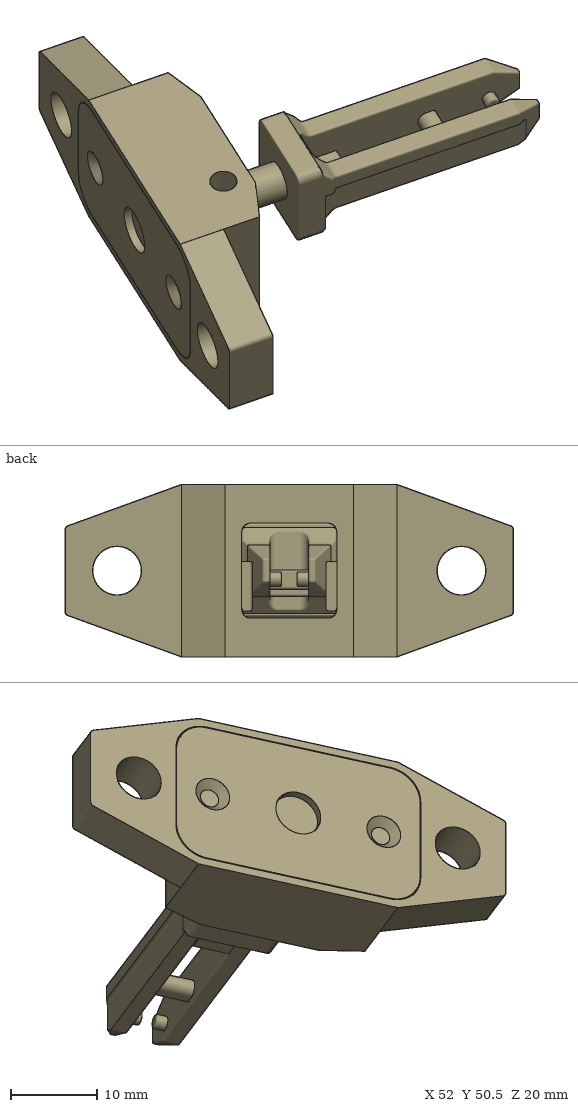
import cadquery as cq
import math


flange_length = 52.0
housing_height = 20.0
flange_thickness = 5.55
block_width = 24.95
block_depth = 12.0
taper_angle = 20.0
shoulder_width = 5.05
flange_corner_radius = 0.5
mount_hole_diameter = 5.6
mount_hole_offset = 19.95
side_hole_diameter = 3.1
side_hole_depth = 5.0
side_hole_x = 5.65
side_hole_y = 8.75

pocket_length = 30.7
pocket_height = 18.1
pocket_corner_radius = 3.85
cover_gap = 0.1
cover_thickness = 1.0
cover_hole_diameter = 5.6
screw_offset = 10.7
screw_head_diameter = 4.2
screw_hole_diameter = 2.3

overall_depth = 50.5
rod_diameter = 4.6
base_start = 18.5
base_size = 11.0
base_corner_radius = 1.05
base_edge_radius = 0.15
base_rim = 21.6
base_rim_half = 5.0
rim_edge_radius = 0.25
neck_radius = 0.95
flank_radius = 0.45
arm_outer = 4.85
arm_inner = 2.25
arm_height = 6.0
arm_edge_radius = 0.25
slot_floor = 22.0
slot_corner_radius = 1.0
taper_start = 47.1
tip_outer = 3.0
tip_half_height = 1.35
recess_depth = 0.55
recess_top = 1.1
recess_start = 21.9
recess_corner_radius = 0.3
crossbar_start = 37.35
crossbar_size = 2.25
crossbar_z = -1.05
crossbar_round_radius = 1.1
crossbar_edge_radius = 0.25
stud_z = -1.0
stud_diameter = 1.7
stud_y = 46.45
stud_half_gap = 0.9
stud_edge_radius = 0.25
web_end = 27.0
web_thickness = 2.0
web_edge_radius = 0.25
selection_margin = 0.05

half_base = base_size / 2
half_arm_height = arm_height / 2
slope_end = base_rim + base_rim_half - half_arm_height
flank_start = slope_end - (half_base - arm_outer)


def y_cylinder(x, diameter, start, end):
    """Round bar along Y at height zero."""
    return cq.Workplane(cq.Solid.makeCylinder(
        diameter / 2, end - start, cq.Vector(x, start, 0), cq.Vector(0, 1, 0)))


def box_between(low, high):
    """Box from its lowest corner to its highest corner."""
    size = [b - a for a, b in zip(low, high)]
    return cq.Workplane().box(*size, centered=False).translate(tuple(low))


def rounded_plate(length, height, radius, thickness):
    """Plate on the mounting face with rounded corners."""
    plate = cq.Workplane().box(length, thickness, height, centered=(True, False, True))
    return plate.edges("|Y").fillet(radius)


def make_flange():
    half_length = flange_length / 2
    half_height = housing_height / 2
    half_block = block_width / 2
    end_half = half_height - (half_length - half_block) * math.tan(math.radians(taper_angle))
    outline = [
        (-half_length, -end_half), (-half_block, -half_height),
        (half_block, -half_height), (half_length, -end_half),
        (half_length, end_half), (half_block, half_height),
        (-half_block, half_height), (-half_length, end_half),
    ]
    flange = cq.Workplane("XZ").polyline(outline).close().extrude(-flange_thickness)
    end_edges = flange.edges("|Y and (<X or >X)")
    return end_edges.fillet(flange_corner_radius)


def make_block():
    half_block = block_width / 2
    crown_half = half_block - shoulder_width
    shoulder_y = block_depth - shoulder_width * math.tan(math.radians(taper_angle))
    outline = [
        (-half_block, 0), (half_block, 0), (half_block, shoulder_y),
        (crown_half, block_depth), (-crown_half, block_depth), (-half_block, shoulder_y),
    ]
    return cq.Workplane("XY").polyline(outline).close().extrude(housing_height / 2, both=True)


def make_housing():
    housing = make_flange().union(make_block())
    housing = housing.cut(
        rounded_plate(pocket_length, pocket_height, pocket_corner_radius, cover_thickness))
    for side in (-1, 1):
        housing = housing.cut(
            y_cylinder(side * mount_hole_offset, mount_hole_diameter, 0, flange_thickness))
    side_hole = cq.Workplane("XY", origin=(side_hole_x, side_hole_y, housing_height / 2))
    return housing.cut(side_hole.circle(side_hole_diameter / 2).extrude(-side_hole_depth))


def make_cover():
    cover = rounded_plate(
        pocket_length - 2 * cover_gap, pocket_height - 2 * cover_gap,
        pocket_corner_radius - cover_gap, cover_thickness)
    cover = cover.cut(y_cylinder(0, cover_hole_diameter, 0, cover_thickness))
    for side in (-1, 1):
        countersink = cq.Solid.makeCone(
            screw_head_diameter / 2, screw_hole_diameter / 2, cover_thickness,
            cq.Vector(side * screw_offset, 0, 0), cq.Vector(0, 1, 0))
        cover = cover.cut(cq.Workplane(countersink))
    return cover


def mirrored_outline(points):
    """Closed outline from (half width, y) points, repeated on the other side of the Y axis."""
    return points + [(-half_width, y) for half_width, y in reversed(points)]


def make_plan_shape():
    """Fork outline in X and Y, with blended flanks where the base meets the arms."""
    outline = mirrored_outline([
        (half_base, base_start), (half_base, flank_start), (arm_outer, slope_end),
        (arm_outer, taper_start), (tip_outer, overall_depth)])
    shape = cq.Workplane("XY").polyline(outline).close().extrude(half_base, both=True)
    flank_zone = cq.selectors.BoxSelector(
        (-base_size, flank_start - flank_radius, -base_size),
        (base_size, slope_end + flank_radius, base_size))
    return shape.edges("|Z").edges(flank_zone).fillet(flank_radius)


def make_side_shape():
    """Fork outline in Y and Z, with the rim and the neck rounded."""
    outline = mirrored_outline([
        (half_base, base_start), (half_base, base_rim), (base_rim_half, base_rim),
        (half_arm_height, slope_end), (half_arm_height, taper_start),
        (tip_half_height, overall_depth)])
    profile = [(y, z) for z, y in outline]
    shape = cq.Workplane("YZ").polyline(profile).close().extrude(half_base, both=True)
    for side in (-1, 1):
        rim_edge = cq.selectors.NearestToPointSelector((0, base_rim, side * half_base))
        neck_edge = cq.selectors.NearestToPointSelector((0, slope_end, side * half_arm_height))
        shape = shape.edges("|X").edges(rim_edge).fillet(rim_edge_radius)
        shape = shape.edges("|X").edges(neck_edge).fillet(neck_radius)
    return shape


def make_slot():
    slot = box_between(
        (-arm_inner, slot_floor, -half_base), (arm_inner, overall_depth, half_base))
    return slot.edges("|Z and <Y").fillet(slot_corner_radius)


def make_blank():
    """Base and both arms with their rounded edges."""
    envelope = box_between(
        (-half_base, base_start, -half_base), (half_base, overall_depth, half_base))
    envelope = envelope.edges("|Y").fillet(base_corner_radius)
    envelope = envelope.faces("<Y").edges().fillet(base_edge_radius)
    blank = envelope.intersect(make_plan_shape()).intersect(make_side_shape())
    blank = blank.cut(make_slot())
    slot_edges = cq.selectors.BoxSelector(
        (-arm_inner - selection_margin, slot_floor - selection_margin, -half_base),
        (arm_inner + selection_margin, overall_depth + selection_margin, half_base))
    slot_corners = cq.selectors.BoxSelector(
        (-half_base, base_rim, -0.5),
        (half_base, slot_floor + slot_corner_radius + selection_margin, 0.5))
    arm_edges = cq.selectors.BoxSelector(
        (-half_base, slope_end + flank_radius, -half_base),
        (half_base, overall_depth + selection_margin, half_base))
    return blank.edges((slot_edges - slot_corners) + arm_edges).fillet(arm_edge_radius)


def make_recess(side):
    """Clearance along the lower part of one outer arm face."""
    near = side * (arm_outer - recess_depth)
    far = side * half_base
    recess = box_between(
        (min(near, far), recess_start, -half_base), (max(near, far), overall_depth, recess_top))
    inner_face = "<X" if side > 0 else ">X"
    return recess.faces(inner_face).edges(">Z or <Y").fillet(recess_corner_radius)


def make_stud(side):
    """Short round stud on the inner face of one arm, with a rounded free end."""
    stud = cq.Workplane(cq.Solid.makeCylinder(
        stud_diameter / 2, arm_inner - stud_half_gap,
        cq.Vector(side * arm_inner, stud_y, stud_z), cq.Vector(-side, 0, 0)))
    free_end = "<X" if side > 0 else ">X"
    return stud.faces(free_end).edges().fillet(stud_edge_radius)


def make_crossbar():
    """Bar between the arms, rounded toward the base and nearly square toward the tips."""
    bottom = crossbar_z - crossbar_size / 2
    bar = box_between(
        (-arm_inner, crossbar_start, bottom),
        (arm_inner, crossbar_start + crossbar_size, bottom + crossbar_size))
    bar = bar.edges("|X and <Y").fillet(crossbar_round_radius)
    return bar.edges("|X and >Y").fillet(crossbar_edge_radius)


def make_web():
    """Plate that joins the arms just above the slot floor."""
    web_bottom = -half_arm_height
    web = box_between(
        (-arm_inner, base_rim, web_bottom), (arm_inner, web_end, web_bottom + web_thickness))
    return web.edges("|X and >Y").fillet(web_edge_radius)


def make_fork():
    fork = make_blank()
    for side in (-1, 1):
        fork = fork.cut(make_recess(side))
        fork = fork.union(make_stud(side))
    fork = fork.union(make_crossbar())
    fork = fork.union(make_web())
    return fork.union(y_cylinder(0, rod_diameter, block_depth, base_start))


housing = make_housing()
cover = make_cover()
fork = make_fork()

result = cq.Compound.makeCompound([housing.val(), cover.val(), fork.val()])